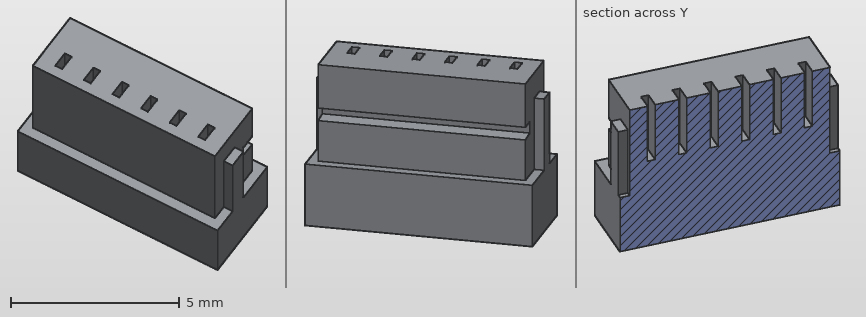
import cadquery as cq

base_length = 7.0
base_width = 2.8
base_height = 1.945

body_length = 6.385
body_width = 2.1
total_height = 5.0

rail_width = 0.61
rail_front_offset = 0.85
rail_top = 4.2

groove_depth = 0.5
groove_top = 3.625
groove_floor_inner = 3.27
groove_floor_outer = 3.23

slot_count = 6
slot_pitch = 1.0
slot_length = 0.24
slot_width = 0.54
slot_front_offset = 0.71
slot_depth = 1.96


def block(length, width, bottom, top, center_y=0):
    """Box centred on X, between two heights."""
    return (
        cq.Workplane("XY", origin=(0, center_y, bottom))
        .rect(length, width)
        .extrude(top - bottom)
    )


def latch_groove():
    outer_y = body_width / 2
    inner_y = outer_y - groove_depth
    return (
        cq.Workplane("YZ")
        .moveTo(outer_y, groove_top)
        .lineTo(inner_y, groove_top)
        .lineTo(inner_y, groove_floor_inner)
        .lineTo(outer_y, groove_floor_outer)
        .close()
        .extrude(body_length / 2, both=True)
    )


def contact_slots():
    center_y = -base_width / 2 + slot_front_offset + slot_width / 2
    return (
        cq.Workplane("XY", origin=(0, center_y, total_height))
        .rarray(slot_pitch, 0.07, slot_count, 1)
        .rect(slot_length, slot_width)
        .extrude(-slot_depth)
    )


base = block(base_length, base_width, 0, base_height)
body = block(body_length, body_width, base_height, total_height)

rail_center_y = -base_width / 2 + rail_front_offset + rail_width / 2
rails = block(base_length, rail_width, base_height, rail_top, rail_center_y)

result = base.union(body).union(rails).cut(latch_groove()).cut(contact_slots())